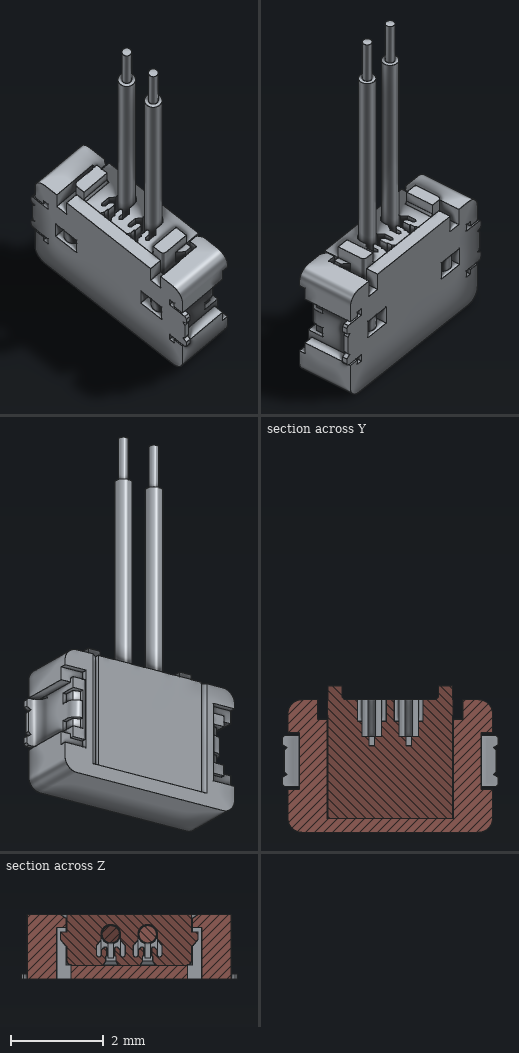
import cadquery as cq
import math


HOUSING_WIDTH = 4.41
HOUSING_DEPTH = 1.4
HOUSING_HEIGHT = 2.865
CORNER_RADIUS = 0.31
FRONT_WALL = 0.31
HOUSING_HALF = HOUSING_WIDTH / 2

CAVITY_HALF = 1.36
CAVITY_FLOOR = 0.31
LEAD_IN_X = 0.125
LEAD_IN_Y = 0.09

NOTCH_INNER = 1.26
NOTCH_OUTER = 1.56
NOTCH_FLOOR = 2.44
NOTCH_BACK = 1.11

RECESS_BOTTOM = 0.935
RECESS_TOP = 2.145
RECESS_MIDDLE = (RECESS_BOTTOM + RECESS_TOP) / 2
RECESS_FLOOR = 1.96
RELIEF_FLOOR = 1.82
BACK_RECESS_FLOOR = 1.66
BACK_RECESS_HEIGHT = 1.805
BACK_RECESS_FRONT = 1.25
BACK_BLOCK_HEIGHT = 1.4
BACK_BLOCK_END = 1.35

TONGUE_SPAN = 4.66
TONGUE_TIP = TONGUE_SPAN / 2
TONGUE_EDGE = 2.285
TONGUE_HEIGHT = 1.1
TONGUE_THICKNESS = 0.12
TONGUE_ROOT_RADIUS = 0.25
TONGUE_CORNER = 0.05
TONGUE_NOTCH_FLOOR = 2.23
TONGUE_NOTCH_OFFSET = 0.29
TONGUE_NOTCH_HALF = 0.06
TONGUE_BUMP_INNER = TONGUE_NOTCH_OFFSET + TONGUE_NOTCH_HALF
RELIEF_HEIGHT = 0.17
RELIEF_DEPTH = 0.34

SIDE_WINDOW_HEIGHT = 0.895
SIDE_WINDOW_FRONT = 0.95
SIDE_WINDOW_STEP = 1.2
SIDE_WINDOW_STEP_END = 1.25
SIDE_WINDOW_FLOOR = 1.87
SIDE_WINDOW_DEEP_FLOOR = 1.705
RIB_HEIGHT = 0.4
RIB_RADIUS = 0.22
RIB_END = 1.33

FRONT_WINDOW_INNER = 0.96
FRONT_WINDOW_OUTER = 1.59
FRONT_WINDOW_HEIGHT = 0.45
FRONT_WINDOW_DEPTH = 0.28
BUMP_CENTRE = 1.31
BUMP_RADIUS = 0.22
BUMP_FOOT_INNER = 1.03
BUMP_FOOT_EDGE = 1.09
BUMP_FOOT_RISE = 0.12
BUMP_CLEARANCE = 0.025

INSERT_HALF = 1.34
INSERT_EDGE_RADIUS = 0.1
TAB_INNER = 1.035
TAB_BACK = 1.02
TAB_HEIGHT = 0.3
TAB_FOOT = 0.05
HOOK_TIP = 1.48
HOOK_BOTTOM = 2.52
HOOK_START = 0.69
HOOK_FULL = 0.85

WIRE_OFFSET = 0.4
WIRE_DEPTH = 0.97
WIRE_RADIUS = 0.19
CORE_RADIUS = 0.11
INSULATION_TOP = 7.27
WIRE_TOP = 8.28
WIRE_SEAT = 1.87
THROAT_FLOOR = 2.07
LOBE_FLOOR = 2.4
RAMP_BOTTOM = 1.57
WIRE_HOLE_RADIUS = 0.21
FINGER_TIP = 0.695
FINGER_TIP_ROUND = 0.03
FINGER_SHOULDER = 0.63
FINGER_TIP_OUTER = 0.14
STEM_HALF = 0.08
GROOVE_HALF = 0.06
STEM_FRONT = 0.455
FOOT_HALF = 0.11
FOOT_BACK = 0.5
FOOT_FRONT = 0.39
FOOT_BASE_HALF = 0.16
LOBE_OUTER = 0.31
LOBE_START = 0.845
LOBE_SHOULDER = 0.73
LOBE_END = 0.48


def box(x0, x1, y0, y1, z0, z1):
    return cq.Workplane("XY").box(x1 - x0, y1 - y0, z1 - z0, centered=False).translate((x0, y0, z0))


def centred_box(x0, x1, y0, y1, height):
    """Box whose height is centred on the middle of the end recesses."""
    return box(x0, x1, y0, y1, RECESS_MIDDLE - height / 2, RECESS_MIDDLE + height / 2)


def both_sides(shape):
    """The +X shape together with its mirror image at -X."""
    return shape.union(shape.mirror("YZ"))


def column(outline, height):
    """Prism of an XY outline, centred in height on the middle of the end recesses."""
    return outline.extrude(height).translate((0, 0, RECESS_MIDDLE - height / 2))


def housing_block():
    block = box(-HOUSING_HALF, HOUSING_HALF, 0, HOUSING_DEPTH, 0, HOUSING_HEIGHT)
    return block.edges("|Y").fillet(CORNER_RADIUS)


def insert_cavity():
    cavity = box(-CAVITY_HALF, CAVITY_HALF, FRONT_WALL, HOUSING_DEPTH, CAVITY_FLOOR, HOUSING_HEIGHT)
    lead_in = (
        cq.Workplane("XY", origin=(0, 0, CAVITY_FLOOR))
        .moveTo(CAVITY_HALF, HOUSING_DEPTH - LEAD_IN_Y)
        .lineTo(CAVITY_HALF + LEAD_IN_X, HOUSING_DEPTH)
        .lineTo(CAVITY_HALF, HOUSING_DEPTH)
        .close()
        .extrude(HOUSING_HEIGHT - CAVITY_FLOOR)
    )
    return cavity.union(both_sides(lead_in))


def side_recess():
    """Material removed from the +X end, apart from the tongue."""
    recess = box(RECESS_FLOOR, TONGUE_TIP, 0, HOUSING_DEPTH, RECESS_BOTTOM, RECESS_TOP)
    relief_height = TONGUE_HEIGHT + 2 * RELIEF_HEIGHT
    relief = centred_box(RELIEF_FLOOR, RECESS_FLOOR, 0, RELIEF_DEPTH, relief_height)
    relief = relief.cut(centred_box(RELIEF_FLOOR, RECESS_FLOOR, 0, RELIEF_DEPTH, TONGUE_HEIGHT))
    back = centred_box(BACK_RECESS_FLOOR, TONGUE_TIP, BACK_RECESS_FRONT, HOUSING_DEPTH, BACK_RECESS_HEIGHT)
    back = back.cut(
        centred_box(BACK_RECESS_FLOOR, RECESS_FLOOR, BACK_RECESS_FRONT, BACK_BLOCK_END, BACK_BLOCK_HEIGHT)
    )
    return recess.union(relief).union(back)


def side_windows():
    """Stepped pocket in the +X recess floor, split in two by a rib with a rounded back edge."""
    pocket = column(
        cq.Workplane("XY")
        .moveTo(RECESS_FLOOR, SIDE_WINDOW_FRONT)
        .lineTo(SIDE_WINDOW_FLOOR, SIDE_WINDOW_FRONT)
        .lineTo(SIDE_WINDOW_FLOOR, SIDE_WINDOW_STEP)
        .lineTo(SIDE_WINDOW_DEEP_FLOOR, SIDE_WINDOW_STEP_END)
        .lineTo(SIDE_WINDOW_DEEP_FLOOR, HOUSING_DEPTH)
        .lineTo(RECESS_FLOOR, HOUSING_DEPTH)
        .close(),
        SIDE_WINDOW_HEIGHT,
    )
    rib = centred_box(SIDE_WINDOW_DEEP_FLOOR, RECESS_FLOOR, SIDE_WINDOW_FRONT, RIB_END, RIB_HEIGHT)
    rib = rib.edges("|Z and >X and >Y").fillet(RIB_RADIUS)
    return pocket.cut(rib)


def tongue():
    """Plate at +X with notched edge, blended into the recess floor by a concave root."""
    half = TONGUE_HEIGHT / 2
    notch_start = TONGUE_NOTCH_OFFSET - TONGUE_NOTCH_HALF
    upper_edge = [
        (TONGUE_EDGE, notch_start),
        (TONGUE_NOTCH_FLOOR, TONGUE_NOTCH_OFFSET),
        (TONGUE_TIP, TONGUE_BUMP_INNER),
        (TONGUE_TIP, half - TONGUE_CORNER),
        (TONGUE_TIP - TONGUE_CORNER, half),
        (RECESS_FLOOR, half),
    ]
    lower_edge = [(x, -z) for x, z in reversed(upper_edge)]
    plate = (
        cq.Workplane("XZ")
        .polyline(upper_edge + lower_edge)
        .close()
        .extrude(-TONGUE_THICKNESS)
        .translate((0, 0, RECESS_MIDDLE))
    )
    root_x = RECESS_FLOOR + TONGUE_ROOT_RADIUS
    root_y = TONGUE_THICKNESS + TONGUE_ROOT_RADIUS
    bend = TONGUE_ROOT_RADIUS * math.sqrt(0.5)
    root = column(
        cq.Workplane("XY")
        .moveTo(RECESS_FLOOR, TONGUE_THICKNESS)
        .lineTo(root_x, TONGUE_THICKNESS)
        .threePointArc((root_x - bend, root_y - bend), (RECESS_FLOOR, root_y))
        .close(),
        TONGUE_HEIGHT,
    )
    return plate.union(root)


def front_window():
    """Pocket in the front face at +X that leaves a half-round bump standing on its floor."""
    pocket = centred_box(FRONT_WINDOW_INNER, FRONT_WINDOW_OUTER, 0, FRONT_WINDOW_DEPTH, FRONT_WINDOW_HEIGHT)
    bump_height = FRONT_WINDOW_HEIGHT - 2 * BUMP_CLEARANCE
    bump = column(
        cq.Workplane("XY").center(BUMP_CENTRE, FRONT_WINDOW_DEPTH).circle(BUMP_RADIUS),
        bump_height,
    )
    foot = column(
        cq.Workplane("XY")
        .moveTo(BUMP_FOOT_INNER, FRONT_WINDOW_DEPTH)
        .lineTo(BUMP_FOOT_EDGE, FRONT_WINDOW_DEPTH - BUMP_FOOT_RISE)
        .lineTo(BUMP_CENTRE, FRONT_WINDOW_DEPTH)
        .close(),
        bump_height,
    )
    return pocket.cut(bump).cut(foot)


def make_housing():
    notch = box(NOTCH_INNER, NOTCH_OUTER, 0, NOTCH_BACK, NOTCH_FLOOR, HOUSING_HEIGHT)
    housing = housing_block().cut(insert_cavity())
    for cutter in (notch, side_recess(), side_windows(), front_window()):
        housing = housing.cut(both_sides(cutter))
    return housing.union(tongue()).union(tongue().mirror("YZ"))


def tab():
    """Upright tab at +X with a small sloped foot on its inner side."""
    upright = box(TAB_INNER, INSERT_HALF, FRONT_WALL, TAB_BACK, HOUSING_HEIGHT, HOUSING_HEIGHT + TAB_HEIGHT)
    foot = (
        cq.Workplane("XZ", origin=(0, FRONT_WALL, 0))
        .moveTo(TAB_INNER - TAB_FOOT, HOUSING_HEIGHT)
        .lineTo(TAB_INNER, HOUSING_HEIGHT)
        .lineTo(TAB_INNER, HOUSING_HEIGHT + TAB_FOOT)
        .close()
        .extrude(FRONT_WALL - TAB_BACK)
    )
    return upright.union(foot)


def hook():
    """Tapered catch at +X that reaches into the housing notch."""
    return (
        cq.Workplane("XY", origin=(0, 0, HOOK_BOTTOM))
        .moveTo(INSERT_HALF, HOOK_START)
        .lineTo(HOOK_TIP, HOOK_FULL)
        .lineTo(HOOK_TIP, TAB_BACK)
        .lineTo(INSERT_HALF, TAB_BACK)
        .close()
        .extrude(HOUSING_HEIGHT - HOOK_BOTTOM)
    )


def contact_lobe():
    """Shallow outer slot at +X of a wire hole, with a round end towards the front wall."""
    end_radius = (LOBE_OUTER - WIRE_HOLE_RADIUS) / 2
    end_y = LOBE_END + end_radius
    return (
        cq.Workplane("XY", origin=(0, 0, LOBE_FLOOR))
        .moveTo(WIRE_HOLE_RADIUS, LOBE_START)
        .lineTo(LOBE_OUTER, LOBE_SHOULDER)
        .lineTo(LOBE_OUTER, end_y)
        .threePointArc((LOBE_OUTER - end_radius, LOBE_END), (WIRE_HOLE_RADIUS, end_y))
        .close()
        .extrude(HOUSING_HEIGHT - LOBE_FLOOR)
    )


def contact_finger():
    """Finger at +X with a slanted, rounded tip, left standing between the stem and the lobe."""
    finger = (
        cq.Workplane("XY", origin=(0, 0, THROAT_FLOOR))
        .moveTo(STEM_HALF, FRONT_WALL)
        .lineTo(STEM_HALF, FINGER_TIP)
        .lineTo(FINGER_TIP_OUTER, FINGER_TIP)
        .lineTo(WIRE_HOLE_RADIUS, FINGER_SHOULDER)
        .lineTo(WIRE_HOLE_RADIUS, FRONT_WALL)
        .close()
        .extrude(HOUSING_HEIGHT - THROAT_FLOOR)
    )
    return finger.edges("|Z and >Y").fillet(FINGER_TIP_ROUND)


def contact_foot():
    """Widening of the stem at the front wall, with a floor that ramps down to the wall."""
    foot = (
        cq.Workplane("XY", origin=(0, 0, THROAT_FLOOR))
        .polyline([
            (-FOOT_BASE_HALF, FRONT_WALL),
            (FOOT_BASE_HALF, FRONT_WALL),
            (FOOT_HALF, FOOT_FRONT),
            (FOOT_HALF, FOOT_BACK),
            (-FOOT_HALF, FOOT_BACK),
            (-FOOT_HALF, FOOT_FRONT),
        ])
        .close()
        .extrude(HOUSING_HEIGHT - THROAT_FLOOR)
    )
    ramp = (
        cq.Workplane("YZ", origin=(-FOOT_BASE_HALF, 0, 0))
        .moveTo(FRONT_WALL, THROAT_FLOOR)
        .lineTo(FOOT_FRONT, THROAT_FLOOR)
        .lineTo(FRONT_WALL, RAMP_BOTTOM)
        .close()
        .extrude(2 * FOOT_BASE_HALF)
    )
    return foot.union(ramp)


def contact_slot():
    """Wire hole at X = 0 with its throat, centre groove, foot and two lobes."""
    top = HOUSING_HEIGHT
    hole_floor = cq.Workplane("XY", origin=(0, WIRE_DEPTH, WIRE_SEAT))
    hole = hole_floor.circle(WIRE_HOLE_RADIUS).extrude(top - WIRE_SEAT)
    throat = box(-WIRE_HOLE_RADIUS, WIRE_HOLE_RADIUS, STEM_FRONT, WIRE_DEPTH, THROAT_FLOOR, top)
    throat = throat.cut(both_sides(contact_finger()))
    groove = box(-GROOVE_HALF, GROOVE_HALF, STEM_FRONT, WIRE_DEPTH, WIRE_SEAT, top)
    return hole.union(throat).union(groove).union(contact_foot()).union(both_sides(contact_lobe()))


def make_insert():
    body = box(-INSERT_HALF, INSERT_HALF, FRONT_WALL, HOUSING_DEPTH, CAVITY_FLOOR, HOUSING_HEIGHT)
    body = body.union(tab()).union(tab().mirror("YZ"))
    body = body.edges("|Z and <Y and (<X or >X)").fillet(INSERT_EDGE_RADIUS)
    body = body.union(hook()).union(hook().mirror("YZ"))
    for side in (-1, 1):
        body = body.cut(contact_slot().translate((side * WIRE_OFFSET, 0, 0)))
    return body


def make_wire(x):
    """Insulated wire with a bare end, standing on the floor of its slot."""
    insulation = cq.Workplane("XY").circle(WIRE_RADIUS).extrude(INSULATION_TOP - WIRE_SEAT)
    core = cq.Workplane("XY").circle(CORE_RADIUS).extrude(WIRE_TOP - WIRE_SEAT)
    return insulation.union(core).translate((x, WIRE_DEPTH, WIRE_SEAT))


housing = make_housing().solids()
insert = make_insert().solids()
wires = [make_wire(side * WIRE_OFFSET).solids().val() for side in (-1, 1)]
result = cq.Compound.makeCompound([housing.val(), insert.val(), *wires])